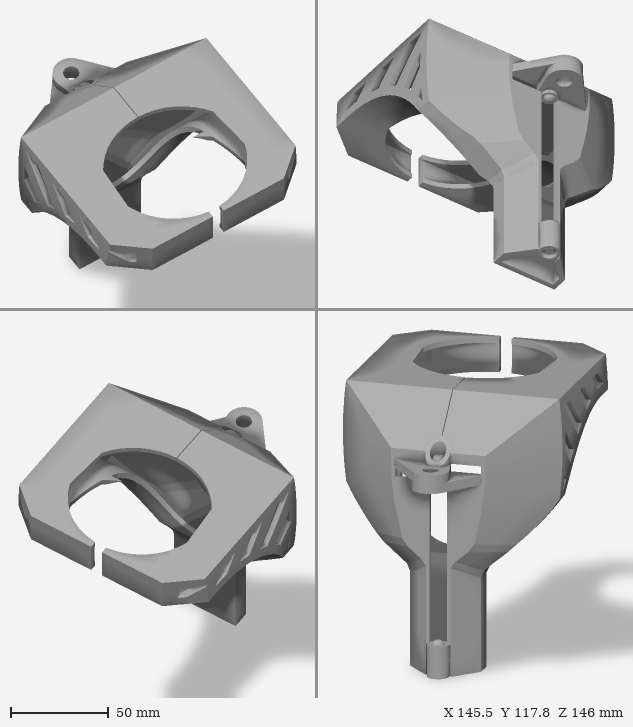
import cadquery as cq
import math


HEIGHT = 146.0
REACH = 122.4
WALL = 2.9
SLOPE_BASE_Z = 120.2
ARCH_X, ARCH_Z = 96.4, 58.4
ARCH_RADIUS = 69.2
DUCT_FRONT = 22.6
NECK_BLEND_Z = 56.0
NECK_BOTTOM_Z = 46.7
NECK_BLEND_OFFSET = 3.0
HALF_SPAN = 87.6

RINGS = [
    (6.5, 0.0, 13.1, 19.0, 0.0),
    (6.5, 58.4, 13.1, 19.0, 50.7),
    (9.0, 61.9, 13.1, 20.7, 54.8),
    (15.9, 67.8, 13.1, 33.5, 65.6),
    (19.3, 72.3, 14.5, 37.5, 69.5),
    (21.6, 82.1, 21.0, 48.8, 80.9),
    (23.8, 94.0, 25.9, 57.1, 92.0),
    (25.3, 111.0, 25.9, 58.9, 118.3),
    (25.3, SLOPE_BASE_Z, 25.9, 57.1, HEIGHT),
]
DUCT_RING_COUNT = 5
SIDE_OVERLAP = 1.3

CHAMFER_START = (108.0, 57.4)
CHAMFER_END = (122.4, 40.5)

HOLE_BACK, HOLE_FRONT = 48.3, 118.7
HOLE_FLAT_BACK = (66.7, 33.9)
HOLE_FLAT_FRONT = (92.9, 36.0)
FRONT_GAP = 6.7
SEAM_GAP = 0.5

ARCH_OPENING_TOP_Z = 119.8
ARCH_OPENING_BOTTOM_Z = 62.4
ARCH_OPENING_HALF_WIDTH = HOLE_FLAT_BACK[1]

FRAME = 5.4
WINDOW_WIDTH = 11.1
WINDOW_STARTS = (-16.4, 7.6, 31.3, 56.2, 81.2, 106.6)

LUG_BOTTOM_Z = 104.5
LUG_THICKNESS = 5.0
LUG_TOP_Z = LUG_BOTTOM_Z + 2 * LUG_THICKNESS
LUG_ROOT_HALF_WIDTH = 23.1
LUG_EYE_X = -13.5
LUG_EYE_RADIUS = 9.6
LUG_EYE_HOLE = 8.3
BOSS_PROUD = 0.3
BOSS_RADIUS = 6.5
COLLAR_DIAMETER = 9.2
COLLAR_LENGTH = 2.0
BACK_SLOT_WIDTH = 9.5

KNUCKLE_RADIUS = 5.8
KNUCKLE_HEIGHT = 8.6
KNUCKLE_RECESS_HALF_WIDTH = 6.5
KNUCKLE_WEB_REACH = 7.3
KNUCKLE_WEB_BACK = 1.5

PIN_SHANK_DIAMETER, PIN_HOLE = 6.3, 6.5
PIN_HEAD_DIAMETER, PIN_HEAD_HOLE = 8.2, 8.3
PIN_CAP_DIAMETER = 4.4
PIN_TIP_HEIGHT = 2.2
PIN_SEAT = 13.5
PIN_SHOULDER = 15.8
PIN_LENGTH = 18.0
UPPER_TIP_Z = LUG_BOTTOM_Z - COLLAR_LENGTH - PIN_TIP_HEIGHT
LOWER_TIP_Z = 2 * KNUCKLE_HEIGHT + PIN_TIP_HEIGHT


def box(x0, x1, y0, y1, z0, z1):
    return cq.Workplane("XY").box(x1 - x0, y1 - y0, z1 - z0, centered=False).translate((x0, y0, z0))


def cylinder(x, radius, z0, z1):
    return cq.Workplane("XY").workplane(offset=z0).center(x, 0).circle(radius).extrude(z1 - z0)


def side_prism(outline):
    """Extrude an XZ outline right across the hood."""
    return outline.extrude(HALF_SPAN, both=True)


def side_outline(inset):
    """Side profile of the hood and duct, moved inwards by the inset except at the open lower end."""
    slope_drop = inset * math.sqrt(2)
    top = HEIGHT - inset
    back_slope_z = SLOPE_BASE_Z + inset - slope_drop
    slope_top_x = top - SLOPE_BASE_Z + slope_drop
    radius = ARCH_RADIUS + inset
    diagonal = radius / math.sqrt(2)
    blend_x = DUCT_FRONT - inset
    blend_mid = (blend_x + NECK_BLEND_OFFSET / 4, (NECK_BLEND_Z + NECK_BOTTOM_Z) / 2)
    return (
        cq.Workplane("XZ")
        .moveTo(inset, 0)
        .lineTo(inset, back_slope_z)
        .lineTo(slope_top_x, top)
        .lineTo(REACH - inset, top)
        .lineTo(REACH - inset, ARCH_Z + radius)
        .lineTo(ARCH_X, ARCH_Z + radius)
        .threePointArc((ARCH_X - diagonal, ARCH_Z + diagonal), (ARCH_X - radius, ARCH_Z))
        .lineTo(blend_x + NECK_BLEND_OFFSET, NECK_BLEND_Z)
        .threePointArc(blend_mid, (blend_x, NECK_BOTTOM_Z))
        .lineTo(blend_x, 0)
        .close()
    )


def inset_ring(ring, inset):
    """Move the back face, the slanted side and the side wall of a ring inwards."""
    back_half, back_z, corner_x, side_half, side_z = ring
    slope = (side_half - back_half) / corner_x
    slanted_shift = inset * math.sqrt(1 + slope**2)
    inner_back_half = back_half + slope * inset - slanted_shift
    inner_side_half = side_half - inset
    inner_corner_x = (inner_side_half - back_half + slanted_shift) / slope
    return inner_back_half, back_z, inner_corner_x, inner_side_half, side_z


def slanted_loft(rings, inset, ruled):
    """Wedge that widens from the back face past the side corners, lofted from ring to ring."""
    wires = []
    for back_half, back_z, corner_x, side_half, side_z in rings:
        far_x = inset + SIDE_OVERLAP * (corner_x - inset)
        far_half = back_half + SIDE_OVERLAP * (side_half - back_half)
        far_z = back_z + SIDE_OVERLAP * (side_z - back_z)
        corners = [
            (inset, -back_half, back_z),
            (inset, back_half, back_z),
            (far_x, far_half, far_z),
            (far_x, -far_half, far_z),
        ]
        wires.append(cq.Wire.makePolygon([cq.Vector(*corner) for corner in corners], close=True))
    return cq.Workplane(cq.Solid.makeLoft(wires, ruled))


def front_region(rings, inset):
    """Everything in front of the side corners, without limit to the sides.

    It starts halfway along the overlap of the slanted sides, where these are already wider than the hood.
    """
    start = (1 + SIDE_OVERLAP) / 2
    edge = [(inset + start * (ring[2] - inset), ring[1] + start * (ring[4] - ring[1])) for ring in rings]
    top = edge[-1][1]
    return side_prism(cq.Workplane("XZ").polyline(edge + [(REACH, top), (REACH, 0)]).close())


def width_prism(rings):
    """Side walls seen along X: straight along the duct, curved at the shoulders and the hood walls."""
    points = [(ring[3], ring[4]) for ring in rings]
    duct = points[:DUCT_RING_COUNT]
    shoulder_mid, hood_bottom, hood_mid, hood_top = points[DUCT_RING_COUNT:]

    def mirror(point):
        return -point[0], point[1]

    outline = (
        cq.Workplane("YZ")
        .polyline([mirror(point) for point in reversed(duct)] + duct)
        .threePointArc(shoulder_mid, hood_bottom)
        .threePointArc(hood_mid, hood_top)
        .lineTo(*mirror(hood_top))
        .threePointArc(mirror(hood_mid), mirror(hood_bottom))
        .threePointArc(mirror(shoulder_mid), mirror(duct[-1]))
        .close()
    )
    return outline.extrude(REACH)


def plan_prism(inset):
    """Plan shape with chamfered front corners."""
    fall = (CHAMFER_START[1] - CHAMFER_END[1]) / (CHAMFER_END[0] - CHAMFER_START[0])
    level = CHAMFER_START[1] + fall * CHAMFER_START[0] - inset * math.sqrt(1 + fall**2)
    front = REACH - inset
    chamfer_back = (level - HALF_SPAN) / fall
    chamfer_front = level - fall * front
    outline = [(0, HALF_SPAN), (chamfer_back, HALF_SPAN), (front, chamfer_front)]
    mirrored = [(x, -y) for x, y in reversed(outline)]
    return cq.Workplane("XY").polyline(outline + mirrored).close().extrude(HEIGHT)


def hood_form(inset):
    """Solid form of the hood and duct; with the wall as inset it is the cavity."""
    rings = [inset_ring(ring, inset) for ring in RINGS]
    duct = slanted_loft(rings[:DUCT_RING_COUNT], inset, True)
    hood_back = slanted_loft(rings[DUCT_RING_COUNT - 1:], inset, False)
    form = duct.union(hood_back).union(front_region(rings, inset)).intersect(width_prism(rings))
    return form.intersect(side_prism(side_outline(inset))).intersect(plan_prism(inset))


def top_hole():
    back_x, back_y = HOLE_FLAT_BACK
    front_x, front_y = HOLE_FLAT_FRONT
    return (
        cq.Workplane("XY")
        .moveTo(back_x, -back_y)
        .threePointArc((HOLE_BACK, 0), (back_x, back_y))
        .lineTo(front_x, front_y)
        .threePointArc((HOLE_FRONT, 0), (front_x, -front_y))
        .close()
        .extrude(HEIGHT)
    )


def arch_opening():
    ellipse = (
        cq.Workplane("YZ")
        .center(0, ARCH_OPENING_TOP_Z)
        .ellipse(ARCH_OPENING_HALF_WIDTH, ARCH_OPENING_TOP_Z - ARCH_OPENING_BOTTOM_Z)
        .extrude(HOLE_FLAT_FRONT[0])
    )
    lower_half = box(DUCT_FRONT - WALL, HOLE_FLAT_FRONT[0], -HALF_SPAN, HALF_SPAN, 0, ARCH_OPENING_TOP_Z)
    return ellipse.intersect(lower_half)


def side_windows():
    """Stripes falling forward at 45 degrees, kept inside a frame that follows the side wall."""
    top = HEIGHT - FRAME
    back = RINGS[-1][2] + FRAME
    front = REACH - FRAME
    panel = side_prism(side_outline(FRAME)).intersect(box(back, front, -HALF_SPAN, HALF_SPAN, 0, top))
    stripes = cq.Workplane("XZ")
    for x in WINDOW_STARTS:
        corners = [(x, top), (x + WINDOW_WIDTH, top), (x + WINDOW_WIDTH + top, 0), (x + top, 0)]
        stripes = stripes.polyline(corners).close()
    return side_prism(stripes).intersect(panel)


def back_slots():
    pin_slot_half = BACK_SLOT_WIDTH / 2
    recess_top = 2 * KNUCKLE_HEIGHT
    pin_slot = box(-WALL, WALL, -pin_slot_half, pin_slot_half, recess_top, LUG_TOP_Z)
    lug_slot = box(-WALL, WALL, -LUG_ROOT_HALF_WIDTH, LUG_ROOT_HALF_WIDTH, LUG_BOTTOM_Z, LUG_TOP_Z)
    recess_half = KNUCKLE_RECESS_HALF_WIDTH
    knuckle_recess = box(-WALL, recess_half, -recess_half, recess_half, 0, recess_top)
    return pin_slot.union(lug_slot).union(knuckle_recess)


def hood_shell():
    shell = hood_form(0).cut(hood_form(WALL))
    for opening in (top_hole(), arch_opening(), side_windows(), back_slots()):
        shell = shell.cut(opening)
    front_gap = box(ARCH_X, REACH, -FRONT_GAP / 2, FRONT_GAP / 2, 0, HEIGHT)
    seam_gap = box(0, REACH, -SEAM_GAP / 2, SEAM_GAP / 2, LUG_TOP_Z, HEIGHT)
    return shell.cut(front_gap).cut(seam_gap)


def lug(side, z):
    """Lug with its root on the given side: an eye joined by tangents to the root and to the boss."""
    root_dx, root_dy = -LUG_EYE_X, LUG_ROOT_HALF_WIDTH
    root_angle = math.atan2(root_dy, root_dx) + math.acos(LUG_EYE_RADIUS / math.hypot(root_dx, root_dy))
    boss_angle = math.asin((LUG_EYE_RADIUS - BOSS_RADIUS) / root_dx) - math.pi / 2

    def tangent_point(x, radius, angle):
        return x + radius * math.cos(angle), side * radius * math.sin(angle)

    outline = [
        tangent_point(LUG_EYE_X, LUG_EYE_RADIUS, root_angle),
        (0, side * LUG_ROOT_HALF_WIDTH),
        (WALL, side * LUG_ROOT_HALF_WIDTH),
        (WALL, 0),
        tangent_point(0, BOSS_RADIUS, boss_angle),
        tangent_point(LUG_EYE_X, LUG_EYE_RADIUS, boss_angle),
    ]
    top = z + LUG_THICKNESS
    plate = cq.Workplane("XY").workplane(offset=z).polyline(outline).close().extrude(LUG_THICKNESS)
    plate = plate.union(cylinder(LUG_EYE_X, LUG_EYE_RADIUS, z, top)).union(cylinder(0, BOSS_RADIUS, z, top))
    return plate.cut(cylinder(LUG_EYE_X, LUG_EYE_HOLE / 2, z, top))


def pin_boss():
    column = cylinder(0, BOSS_RADIUS, LUG_TOP_Z, HEIGHT)
    axis_z = SLOPE_BASE_Z + BOSS_PROUD
    outline = [
        (-BOSS_RADIUS, 0),
        (-BOSS_RADIUS, axis_z - BOSS_RADIUS),
        (BOSS_RADIUS, axis_z + BOSS_RADIUS),
        (BOSS_RADIUS, 0),
    ]
    return column.intersect(side_prism(cq.Workplane("XZ").polyline(outline).close()))


def knuckle(side, z):
    """Hinge knuckle with a web to the duct wall on the given side."""
    web_y = sorted((0, side * KNUCKLE_WEB_REACH))
    web = box(KNUCKLE_WEB_BACK, WALL, *web_y, z, z + KNUCKLE_HEIGHT)
    return cylinder(0, KNUCKLE_RADIUS, z, z + KNUCKLE_HEIGHT).union(web)


def pin_bore(tip_z, direction):
    """Stepped bore for a pin whose head lies in the given Z direction from its tip."""
    bore = cylinder(0, PIN_HOLE / 2, 0, PIN_LENGTH)
    head_bore = cylinder(0, PIN_HEAD_HOLE / 2, PIN_SEAT, 2 * PIN_LENGTH)
    return place_pin(bore.union(head_bore), tip_z, direction)


def pin(tip_z, direction):
    """Pin with a rounded tip, a cylindrical head and a conical cap on the head."""
    shank_radius = PIN_SHANK_DIAMETER / 2
    head_radius = PIN_HEAD_DIAMETER / 2
    round_mid = (shank_radius * math.sin(math.pi / 4), PIN_TIP_HEIGHT * (1 - math.cos(math.pi / 4)))
    body = (
        cq.Workplane("XZ")
        .moveTo(0, 0)
        .threePointArc(round_mid, (shank_radius, PIN_TIP_HEIGHT))
        .lineTo(shank_radius, PIN_SEAT)
        .lineTo(head_radius, PIN_SEAT)
        .lineTo(head_radius, PIN_SHOULDER)
        .lineTo(shank_radius, PIN_SHOULDER)
        .lineTo(PIN_CAP_DIAMETER / 2, PIN_LENGTH)
        .lineTo(0, PIN_LENGTH)
        .close()
        .revolve(360, (0, 0, 0), (0, 1, 0))
    )
    return place_pin(body, tip_z, direction)


def place_pin(shape, tip_z, direction):
    if direction < 0:
        shape = shape.rotate((0, 0, 0), (1, 0, 0), 180)
    return shape.translate((0, 0, tip_z))


def shell_half(shell, side):
    y_range = sorted((0, side * HALF_SPAN))
    return shell.intersect(box(0, REACH, *y_range, 0, HEIGHT))


def left_half(shell):
    """Half on the +Y side, with the upper lug, the boss and the upper knuckle."""
    half = shell_half(shell, 1).union(lug(1, LUG_BOTTOM_Z + LUG_THICKNESS)).union(pin_boss())
    return half.union(knuckle(1, KNUCKLE_HEIGHT))


def right_half(shell):
    """Half on the -Y side, with the lower lug, its collar and the lower knuckle."""
    collar = cylinder(0, COLLAR_DIAMETER / 2, LUG_BOTTOM_Z - COLLAR_LENGTH, LUG_BOTTOM_Z)
    half = shell_half(shell, -1).cut(cylinder(0, BOSS_RADIUS, LUG_TOP_Z, HEIGHT))
    return half.union(lug(-1, LUG_BOTTOM_Z)).union(collar).union(knuckle(-1, 0))


PIN_PLACES = [(UPPER_TIP_Z, 1), (LOWER_TIP_Z, -1)]

hood = hood_shell()
left = left_half(hood)
right = right_half(hood)
for tip_height, head_direction in PIN_PLACES:
    left = left.cut(pin_bore(tip_height, head_direction))
    right = right.cut(pin_bore(tip_height, head_direction))
pins = [pin(tip_height, head_direction).val() for tip_height, head_direction in PIN_PLACES]

result = cq.Compound.makeCompound([left.val(), right.val(), *pins])